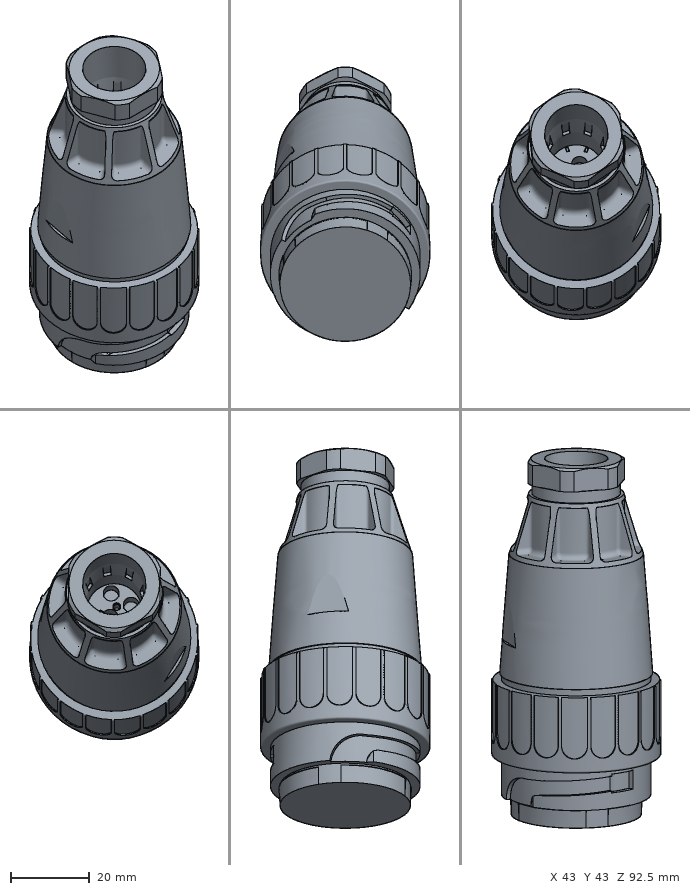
import cadquery as cq
import math

PAD_TOP = 4.6
NOSE_TOP = 5.2
RING_BOTTOM = 15.45
RING_TOP = 35.1
BODY_BOTTOM = 36.7
FLAT_BOTTOM = 45.6
BODY_TOP = 67.7
POCKET_BOTTOM = 68.9
POCKET_TOP = 82.3
CONE_TOP = 83.4
HEX_BOTTOM = 86.6
TOTAL_HEIGHT = 92.5
OVERCUT = 0.9

NOSE_RADIUS = 16.6
PAD_TOP_RADIUS = 16.8
KEY_WIDTH = 5.9

BARREL_RADIUS = 38.0 / 2
GROOVE_FLOOR_RADIUS = 17.9
GROOVE_HEIGHT = 3.9
GROOVE_SECTION_WIDTH = 3.7
GROOVE_MIDDLE_AT_X = 11.5
GROOVE_RISE_PER_DEGREE = 0.021
GROOVE_START_ANGLE = -45.0
GROOVE_POCKET_START = 9.5
GROOVE_POCKET_DEEP = 14.0
GROOVE_END_ANGLE = 30.7
POCKET_FLOOR_RADIUS = 17.6
POCKET_LOW = 9.25
POCKET_HIGH = 14.15
ENTRY_OUTER_X = 0.65
ENTRY_INNER_X = 9.3
ENTRY_OUTER_RUN = 8.8
ENTRY_INNER_RUN = 3.7
ENTRY_OUTER_DROP = 0.2
ENTRY_OVERLAP = 0.1
ENTRY_FLAT_DISTANCE = 15.4

RING_RADIUS = 43.0 / 2
RING_EDGE_FILLET = 0.5
FLUTE_COUNT = 18
FLUTE_FLOOR_RADIUS = 21.2
FLUTE_WIDTH = 6.6
FLUTE_END = 19.15

BODY_BOTTOM_RADIUS = 19.4
BODY_TOP_RADIUS = 17.1
BODY_BULGE = 0.05
FLAT_DISTANCE = 18.0

CONE_BASE_RADIUS = 17.0
CONE_TOP_RADIUS = 12.1
CORE_RADIUS = 12.3
RIB_COUNT = 8
RIB_WIDTH = 1.8
POCKET_FLOOR_FILLET = 1.6
POCKET_SIDE_FILLET = 0.9

NECK_RADIUS = 22.5 / 2
HEX_ACROSS_FLATS = 23.2
HEX_CORNER_DIAMETER = 25.0
HEX_FACE_RADIUS = 11.5
HEX_BEVEL_ANGLE = 30.0

BORE_RADIUS = 16.0 / 2
FINGER_TIP_RADIUS = 14.0 / 2
FINGER_TOP = 81.4
FINGER_BOTTOM = 74.0
BORE_FLOOR = 64.75
FINGER_SLOT_COUNT = 8
FINGER_SLOT_WIDTH = 1.9
FINGER_SLOT_RADIUS = 7.8

CONTACT_DIAMETER = 4.0
CONTACT_DEPTH = 4.6
CONTACT_CENTERS = [(2.0, 0), (-3.4, 3.0), (-3.4, -3.0)]
SCREW_X = -1.2
SCREW_HEAD_DIAMETER = 1.9
SCREW_HOLE_DIAMETER = 1.6
SCREW_HEAD_DEPTH = 0.9
NOTCH_WIDTH = 0.65
NOTCH_DEPTH = 0.9
NOTCH_INNER_RADIUS = 5.6
CONTACT_NOTCH_Y = -3.05


def disc(radius, bottom, top):
    return cq.Workplane("XY").workplane(offset=bottom).circle(radius).extrude(top - bottom)


def tube(outer, inner, bottom, top):
    return disc(outer, bottom, top).cut(disc(inner, bottom, top))


def block(x_min, x_max, width, bottom, top, middle_y=0):
    size_x = x_max - x_min
    plate = cq.Workplane("XY").box(size_x, width, top - bottom, centered=(False, True, False))
    return plate.translate((x_min, middle_y, bottom))


def turned(shape, angle):
    return shape.rotate((0, 0, 0), (0, 0, 1), angle)


def polar(radius, angle):
    return radius * math.cos(math.radians(angle)), radius * math.sin(math.radians(angle))


def make_nose():
    profile = [(0, 0), (NOSE_RADIUS, 0), (PAD_TOP_RADIUS, PAD_TOP), (0, PAD_TOP)]
    pads = cq.Workplane("XZ").polyline(profile).close().revolve(360, (0, 0), (0, 1))
    for angle in range(0, 360, 90):
        gap = block(0, PAD_TOP_RADIUS + OVERCUT, KEY_WIDTH, 0, PAD_TOP)
        pads = pads.cut(turned(gap, angle))
    return disc(NOSE_RADIUS, 0, NOSE_TOP).union(pads)


def groove_middle(angle):
    return GROOVE_MIDDLE_AT_X + GROOVE_RISE_PER_DEGREE * angle


def make_groove_layer():
    """Layer of the barrel that the groove removes."""
    return tube(BARREL_RADIUS + OVERCUT, GROOVE_FLOOR_RADIUS, NOSE_TOP, RING_BOTTOM)


def make_groove_track():
    """Rectangular section swept along a helix, from the entry to the locking pocket."""
    sweep_angle = GROOVE_POCKET_DEEP - GROOVE_START_ANGLE
    pitch = GROOVE_RISE_PER_DEGREE * 360
    helix = cq.Wire.makeHelix(pitch, GROOVE_RISE_PER_DEGREE * sweep_angle, BARREL_RADIUS)
    section = cq.Workplane("XZ").center(BARREL_RADIUS, 0).rect(GROOVE_SECTION_WIDTH, GROOVE_HEIGHT)
    track = section.sweep(cq.Workplane(helix), isFrenet=True)
    track = turned(track, GROOVE_START_ANGLE).translate((0, 0, groove_middle(GROOVE_START_ANGLE)))
    return track.intersect(make_groove_layer())


def make_groove_entry():
    """Curved mouth that opens at the lower end of the barrel and joins the track."""
    join_x = BARREL_RADIUS * math.sin(math.radians(90 + GROOVE_START_ANGLE)) + ENTRY_OVERLAP
    join_middle = groove_middle(GROOVE_START_ANGLE)
    upper = join_middle + GROOVE_HEIGHT / 2
    lower = join_middle - GROOVE_HEIGHT / 2
    outer_bend = (ENTRY_OUTER_X + ENTRY_OUTER_RUN, upper - ENTRY_OUTER_DROP)
    inner_bend = (ENTRY_INNER_X + ENTRY_INNER_RUN, lower)
    diagonal = 1 - math.sqrt(0.5)
    outer_mid = (
        ENTRY_OUTER_X + ENTRY_OUTER_RUN * diagonal,
        outer_bend[1] - (outer_bend[1] - NOSE_TOP) * diagonal,
    )
    inner_mid = (
        ENTRY_INNER_X + ENTRY_INNER_RUN * diagonal,
        lower - (lower - NOSE_TOP) * diagonal,
    )
    mouth = (
        cq.Workplane("XZ")
        .moveTo(ENTRY_OUTER_X, NOSE_TOP)
        .threePointArc(outer_mid, outer_bend)
        .lineTo(join_x, upper)
        .lineTo(join_x, lower)
        .lineTo(*inner_bend)
        .threePointArc(inner_mid, (ENTRY_INNER_X, NOSE_TOP))
        .close()
        .extrude(BARREL_RADIUS + OVERCUT)
    )
    return mouth.intersect(make_groove_layer())


def make_entry_flat():
    """Flat that thins the barrel wall on the inner side of the mouth."""
    flat_end_x = math.sqrt(BARREL_RADIUS**2 - ENTRY_FLAT_DISTANCE**2)
    thickness = BARREL_RADIUS - ENTRY_FLAT_DISTANCE
    flat_top = groove_middle(GROOVE_START_ANGLE)
    middle_y = -ENTRY_FLAT_DISTANCE - thickness / 2
    return block(ENTRY_INNER_X, flat_end_x, thickness, NOSE_TOP, flat_top, middle_y)


def make_groove_pocket():
    """Deeper pocket with a ramp that closes the groove."""
    outer = BARREL_RADIUS + OVERCUT
    middle_angle = (GROOVE_POCKET_DEEP + GROOVE_END_ANGLE) / 2
    floor_end = polar(POCKET_FLOOR_RADIUS, GROOVE_END_ANGLE)
    return (
        cq.Workplane("XY")
        .workplane(offset=POCKET_LOW)
        .moveTo(*polar(outer, GROOVE_POCKET_START))
        .lineTo(*polar(GROOVE_FLOOR_RADIUS, GROOVE_POCKET_START))
        .lineTo(*polar(POCKET_FLOOR_RADIUS, GROOVE_POCKET_DEEP))
        .threePointArc(polar(POCKET_FLOOR_RADIUS, middle_angle), floor_end)
        .lineTo(*polar(outer, GROOVE_END_ANGLE))
        .threePointArc(polar(outer, middle_angle), polar(outer, GROOVE_POCKET_START))
        .close()
        .extrude(POCKET_HIGH - POCKET_LOW)
    )


def make_barrel():
    barrel = disc(BARREL_RADIUS, NOSE_TOP, BODY_BOTTOM)
    groove = make_groove_track().union(make_groove_entry()).union(make_groove_pocket())
    groove = groove.union(make_entry_flat().intersect(make_groove_layer()))
    for angle in (0, 180):
        barrel = barrel.cut(turned(groove, angle))
    return barrel


def make_coupling_ring():
    ring = disc(RING_RADIUS, RING_BOTTOM, RING_TOP).edges().fillet(RING_EDGE_FILLET)
    half_width = FLUTE_WIDTH / 2
    outline = (
        cq.Workplane("YZ")
        .moveTo(-half_width, RING_TOP)
        .lineTo(-half_width, FLUTE_END + half_width)
        .threePointArc((0, FLUTE_END), (half_width, FLUTE_END + half_width))
        .lineTo(half_width, RING_TOP)
        .close()
        .extrude(RING_RADIUS + OVERCUT)
    )
    flute = outline.cut(disc(FLUTE_FLOOR_RADIUS, FLUTE_END, RING_TOP))
    for index in range(FLUTE_COUNT):
        ring = ring.cut(turned(flute, index * 360 / FLUTE_COUNT + 180))
    return ring


def make_body():
    middle_radius = (BODY_BOTTOM_RADIUS + BODY_TOP_RADIUS) / 2 + BODY_BULGE
    middle_height = (BODY_BOTTOM + BODY_TOP) / 2
    body = (
        cq.Workplane("XZ")
        .moveTo(0, BODY_BOTTOM)
        .lineTo(BODY_BOTTOM_RADIUS, BODY_BOTTOM)
        .threePointArc((middle_radius, middle_height), (BODY_TOP_RADIUS, BODY_TOP))
        .lineTo(0, BODY_TOP)
        .close()
        .revolve(360, (0, 0), (0, 1))
    )
    flat = block(FLAT_DISTANCE, BODY_BOTTOM_RADIUS + OVERCUT, 2 * BODY_BOTTOM_RADIUS, FLAT_BOTTOM, BODY_TOP)
    return body.cut(turned(flat, 90)).cut(turned(flat, -90))


def make_rib_pocket():
    """Space between two neighbouring ribs, rounded at its floor and inner corners."""
    pitch = 360 / RIB_COUNT
    outer = CONE_BASE_RADIUS + POCKET_FLOOR_FILLET + OVERCUT
    pocket = tube(outer, CORE_RADIUS, POCKET_BOTTOM, POCKET_TOP)
    beyond_rib = block(-outer, outer, 2 * outer, POCKET_BOTTOM, POCKET_TOP, RIB_WIDTH / 2 - outer)
    pocket = pocket.cut(beyond_rib)
    pocket = pocket.cut(turned(beyond_rib, 180 + pitch))
    pocket = pocket.faces("<Z").edges().fillet(POCKET_FLOOR_FILLET)
    inner_corners = cq.selectors.BoxSelector((0, 0, POCKET_BOTTOM), (CORE_RADIUS, CORE_RADIUS, POCKET_TOP))
    return pocket.edges("|Z").edges(inner_corners).fillet(POCKET_SIDE_FILLET)


def make_ribbed_cone():
    profile = [(0, BODY_TOP), (CONE_BASE_RADIUS, BODY_TOP), (CONE_TOP_RADIUS, CONE_TOP), (0, CONE_TOP)]
    cone = cq.Workplane("XZ").polyline(profile).close().revolve(360, (0, 0), (0, 1))
    pocket = make_rib_pocket()
    for index in range(RIB_COUNT):
        cone = cone.cut(turned(pocket, index * 360 / RIB_COUNT))
    return cone


def make_gland_nut():
    hexagon = (
        cq.Workplane("XY")
        .workplane(offset=HEX_BOTTOM)
        .polygon(6, HEX_ACROSS_FLATS, circumscribed=True)
        .extrude(TOTAL_HEIGHT - HEX_BOTTOM)
    )
    corner_radius = HEX_CORNER_DIAMETER / 2
    bevel_drop = (corner_radius - HEX_FACE_RADIUS) * math.tan(math.radians(HEX_BEVEL_ANGLE))
    envelope = [
        (0, HEX_BOTTOM),
        (corner_radius, HEX_BOTTOM),
        (corner_radius, TOTAL_HEIGHT - bevel_drop),
        (HEX_FACE_RADIUS, TOTAL_HEIGHT),
        (0, TOTAL_HEIGHT),
    ]
    rounding = cq.Workplane("XZ").polyline(envelope).close().revolve(360, (0, 0), (0, 1))
    nut = hexagon.intersect(rounding)
    return nut.union(disc(NECK_RADIUS, CONE_TOP, HEX_BOTTOM))


def make_bore():
    """Cable bore, narrowing between the slotted clamping fingers."""
    profile = [
        (0, BORE_FLOOR),
        (FINGER_TIP_RADIUS, BORE_FLOOR),
        (FINGER_TIP_RADIUS, FINGER_BOTTOM),
        (BORE_RADIUS, FINGER_TOP),
        (BORE_RADIUS, TOTAL_HEIGHT),
        (0, TOTAL_HEIGHT),
    ]
    bore = cq.Workplane("XZ").polyline(profile).close().revolve(360, (0, 0), (0, 1))
    for index in range(FINGER_SLOT_COUNT):
        slot = block(0, FINGER_SLOT_RADIUS, FINGER_SLOT_WIDTH, FINGER_BOTTOM, FINGER_TOP)
        bore = bore.union(turned(slot, index * 360 / FINGER_SLOT_COUNT))
    return bore


def make_insert_holes():
    """Contact holes, the stepped screw hole and the small notches in the bore floor."""
    contact_floor = BORE_FLOOR - CONTACT_DEPTH
    notch_floor = BORE_FLOOR - NOTCH_DEPTH
    holes = disc(SCREW_HEAD_DIAMETER / 2, BORE_FLOOR - SCREW_HEAD_DEPTH, BORE_FLOOR)
    holes = holes.union(disc(SCREW_HOLE_DIAMETER / 2, contact_floor, BORE_FLOOR))
    holes = holes.translate((SCREW_X, 0, 0))
    for x, y in CONTACT_CENTERS:
        holes = holes.union(disc(CONTACT_DIAMETER / 2, contact_floor, BORE_FLOOR).translate((x, y, 0)))
    for angle in (-45, 0, 45):
        notch = block(NOTCH_INNER_RADIUS, FINGER_TIP_RADIUS, NOTCH_WIDTH, notch_floor, BORE_FLOOR)
        holes = holes.union(turned(notch, angle))
    contact_x = CONTACT_CENTERS[0][0]
    contact_notch = block(0, -CONTACT_NOTCH_Y, NOTCH_WIDTH, notch_floor, BORE_FLOOR)
    return holes.union(turned(contact_notch, -90).translate((contact_x, 0, 0)))


result = make_nose().union(make_barrel()).union(make_coupling_ring()).union(make_body())
result = result.union(make_ribbed_cone()).union(make_gland_nut())
result = result.cut(make_bore()).cut(make_insert_holes())